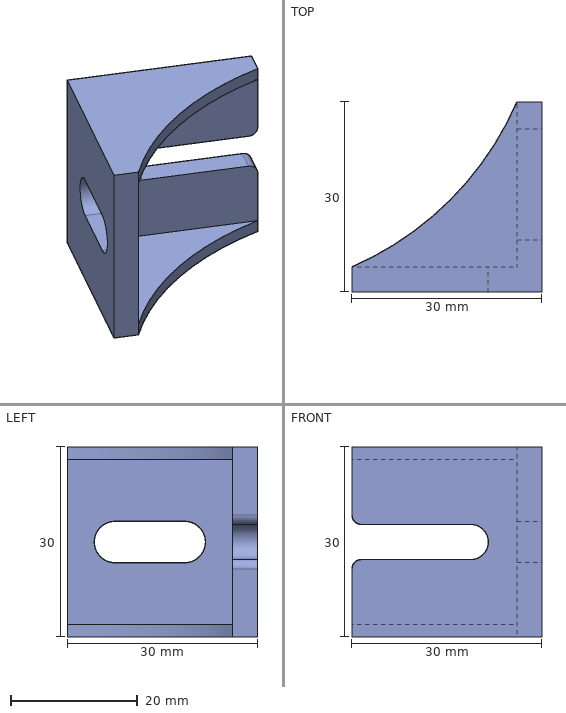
import cadquery as cq
import math

SIZE = 30.0
PLATE = 4.0
WEB = 2.0
WEB_ARC_RADIUS = 50.0

OPEN_SLOT_WIDTH = 5.5
OPEN_SLOT_DEPTH = 21.5
MOUTH_RADIUS = 1.5

CLOSED_SLOT_WIDTH = 6.5
CLOSED_SLOT_LENGTH = 17.5

MID_HEIGHT = SIZE / 2
INNER_SPAN = SIZE - PLATE
CLOSED_SLOT_Y = PLATE + INNER_SPAN / 2


def bracket_body():
    """Triangular block with a concave edge, as seen along Z."""
    chord_mid_x = INNER_SPAN / 2
    chord_mid_y = PLATE + INNER_SPAN / 2
    half_chord = INNER_SPAN / math.sqrt(2)
    sagitta = WEB_ARC_RADIUS - math.sqrt(WEB_ARC_RADIUS**2 - half_chord**2)
    arc_shift = sagitta / math.sqrt(2)
    return (
        cq.Workplane("XY")
        .moveTo(0, 0)
        .lineTo(SIZE, 0)
        .lineTo(SIZE, SIZE)
        .lineTo(INNER_SPAN, SIZE)
        .threePointArc((chord_mid_x + arc_shift, chord_mid_y - arc_shift), (0, PLATE))
        .close()
        .extrude(SIZE)
    )


def pocket():
    """Space between the plates and the two end webs."""
    return (
        cq.Workplane("XY", origin=(0, PLATE, WEB))
        .box(INNER_SPAN, INNER_SPAN, SIZE - 2 * WEB, centered=False)
    )


def open_slot():
    """Round-ended slot open at X = 0, with rounded mouth corners."""
    half = OPEN_SLOT_WIDTH / 2
    mouth_half = half + MOUTH_RADIUS
    straight_end = OPEN_SLOT_DEPTH - half
    corner = MOUTH_RADIUS * (1 - math.sqrt(0.5))
    return (
        cq.Workplane("XZ", origin=(0, 0, MID_HEIGHT))
        .moveTo(0, -mouth_half)
        .threePointArc((corner, -half - corner), (MOUTH_RADIUS, -half))
        .lineTo(straight_end, -half)
        .threePointArc((OPEN_SLOT_DEPTH, 0), (straight_end, half))
        .lineTo(MOUTH_RADIUS, half)
        .threePointArc((corner, half + corner), (0, mouth_half))
        .close()
        .extrude(-PLATE)
    )


def closed_slot():
    """Round-ended slot along Y through the side plate."""
    return (
        cq.Workplane("YZ", origin=(INNER_SPAN, CLOSED_SLOT_Y, MID_HEIGHT))
        .slot2D(CLOSED_SLOT_LENGTH, CLOSED_SLOT_WIDTH)
        .extrude(PLATE)
    )


result = bracket_body().cut(pocket()).cut(open_slot()).cut(closed_slot())